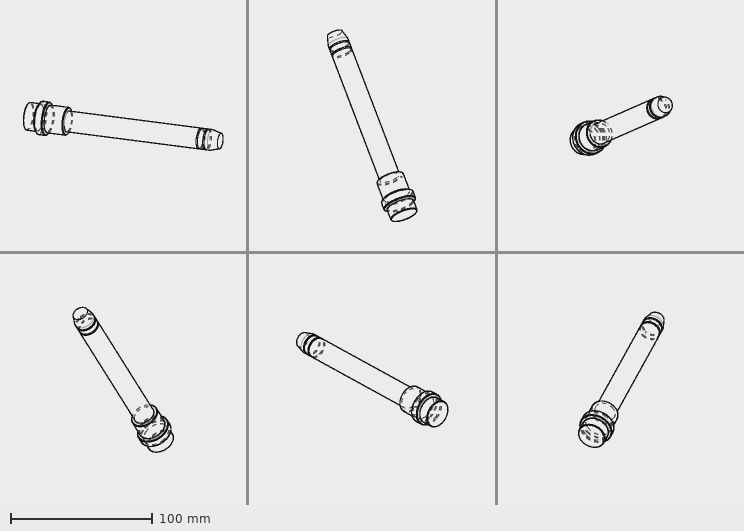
import cadquery as cq
import math

total_length = 146.0
head_length = 30.0
collar_start = 9.0
collar_width = 6.0
tip_length = 7.0

head_diameter = 20.0
collar_diameter = 24.0
shaft_diameter = 15.0

edge_chamfer = 0.5
root_fillet = 0.4
tip_half_angle = 15.0

groove_radius = 0.5
collar_end = collar_start + collar_width
relief_groove_centers = (collar_start - groove_radius, collar_end + groove_radius)
ring_groove_centers = (131.0, 136.0)

axis_direction = cq.Vector(1, 0, 0)


def cylinder(start, length, diameter):
    """Solid cylinder along X, beginning at the given axial position."""
    return cq.Workplane("YZ").workplane(offset=start).circle(diameter / 2).extrude(length)


def cut_round_grooves(body, centers, diameter):
    """Cut half-round grooves into a cylinder of the given diameter."""
    for center in centers:
        groove = cq.Solid.makeTorus(diameter / 2, groove_radius, cq.Vector(center, 0, 0), axis_direction)
        body = body.cut(cq.Workplane(groove))
    return body


def make_head():
    """Head with both ends chamfered and a relief groove on each side of the collar."""
    head = cylinder(0, head_length, head_diameter).faces("<X or >X").chamfer(edge_chamfer)
    return cut_round_grooves(head, relief_groove_centers, head_diameter)


def make_collar():
    """Locating collar with chamfered rims."""
    collar = cylinder(collar_start, collar_width, collar_diameter)
    return collar.faces("<X or >X").chamfer(edge_chamfer)


def make_shaft():
    """Guide shaft with ring grooves and a conical lead-in tip."""
    tip_reduction = tip_length * math.tan(math.radians(tip_half_angle))
    shaft = cylinder(0, total_length, shaft_diameter)
    shaft = shaft.faces(">X").chamfer(tip_length, tip_reduction)
    return cut_round_grooves(shaft, ring_groove_centers, shaft_diameter)


def make_root_fillet():
    """Concave fillet ring in the corner where the shaft leaves the head."""
    shaft_radius = shaft_diameter / 2
    blank = cylinder(head_length, root_fillet, shaft_diameter + 2 * root_fillet)
    rounding = cq.Solid.makeTorus(
        shaft_radius + root_fillet,
        root_fillet,
        cq.Vector(head_length + root_fillet, 0, 0),
        axis_direction,
    )
    return blank.cut(cq.Workplane(rounding))


result = make_head().union(make_collar()).union(make_shaft()).union(make_root_fillet())